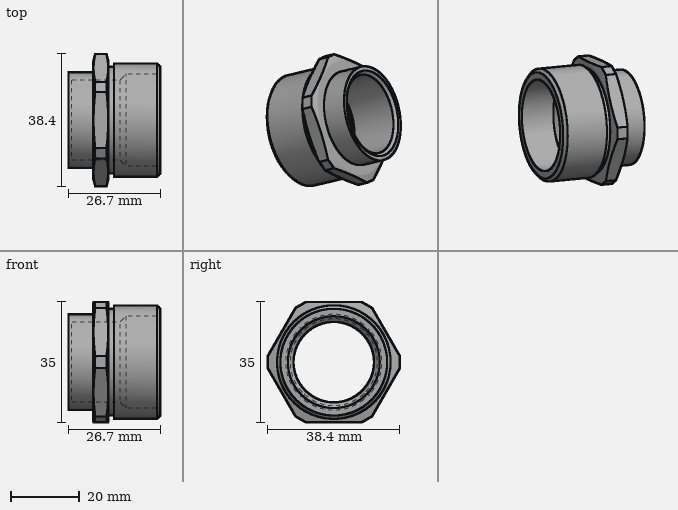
import cadquery as cq
import math


total_length = 26.71
hex_thickness = 4.5
body_end_length = 15.0
undercut_width = 1.5
socket_depth = 10.0
spigot_length = total_length - hex_thickness - body_end_length
hex_end = spigot_length + hex_thickness

spigot_diameter = 27.9
undercut_diameter = 31.1
body_diameter = 33.0
bore_diameter = 23.3
socket_diameter = 26.7

body_chamfer = 1.0
bore_chamfer = 1.0

across_flats = 35.0
across_trimmed_corners = 38.41
hex_face_diameter = 33.9
hex_sides = 6
hex_half_sector = 180 / hex_sides
hex_chamfer_angle = 15.0


def cylinder(start, length, diameter):
    return cq.Workplane("YZ", origin=(start, 0, 0)).circle(diameter / 2).extrude(length)


def turned(profile):
    """Solid of revolution about X from (x, radius) points."""
    return cq.Workplane("XY").polyline(profile).close().revolve(360, (0, 0, 0), (1, 0, 0))


def hex_prism(flats):
    """Hexagonal prism with its corners on the Y axis, sized across flats."""
    corners = flats / math.cos(math.radians(hex_half_sector))
    return cq.Workplane("YZ", origin=(spigot_length, 0, 0)).polygon(hex_sides, corners).extrude(hex_thickness)


def chamfer_envelope():
    """Turned solid whose two conical faces bevel the hexagon corners."""
    face_radius = hex_face_diameter / 2
    outer_radius = across_trimmed_corners / 2 / math.cos(math.radians(hex_half_sector))
    setback = (outer_radius - face_radius) * math.tan(math.radians(hex_chamfer_angle))
    profile = [
        (spigot_length, 0),
        (spigot_length, face_radius),
        (spigot_length + setback, outer_radius),
        (hex_end - setback, outer_radius),
        (hex_end, face_radius),
        (hex_end, 0),
    ]
    return turned(profile)


def hexagon():
    corner_trim = hex_prism(across_trimmed_corners).rotate((0, 0, 0), (1, 0, 0), hex_half_sector)
    return hex_prism(across_flats).intersect(corner_trim).intersect(chamfer_envelope())


def body():
    start = hex_end + undercut_width
    blank = cylinder(start, total_length - start, body_diameter)
    return blank.faces(">X").edges().chamfer(body_chamfer)


def bore():
    """Through bore with a chamfered mouth, opening by a 45 degree cone into the socket."""
    bore_radius = bore_diameter / 2
    socket_radius = socket_diameter / 2
    socket_start = total_length - socket_depth
    cone_start = socket_start - (socket_radius - bore_radius)
    profile = [
        (0, 0),
        (0, bore_radius + bore_chamfer),
        (bore_chamfer, bore_radius),
        (cone_start, bore_radius),
        (socket_start, socket_radius),
        (total_length, socket_radius),
        (total_length, 0),
    ]
    return turned(profile)


spigot = cylinder(0, spigot_length, spigot_diameter)
undercut = cylinder(hex_end, undercut_width, undercut_diameter)

result = spigot.union(hexagon()).union(undercut).union(body()).cut(bore())